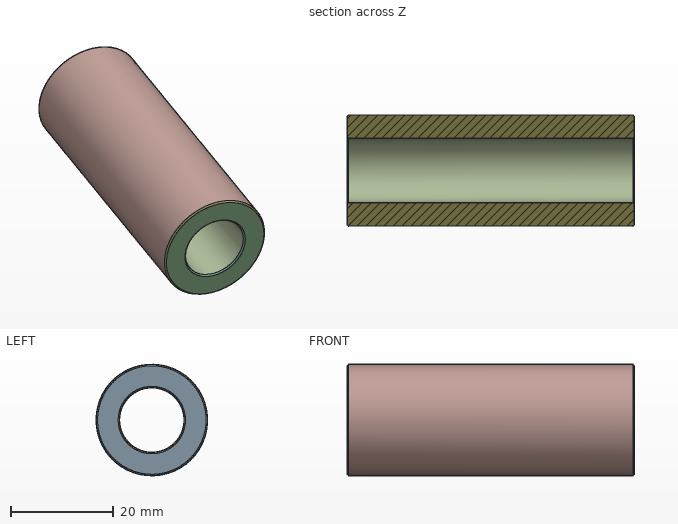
import cadquery as cq

length = 56.25
outer_diameter = 21.88
bore_diameter = 12.6
edge_chamfer = 0.3


def make_bushing():
    """Tube centred on the origin, with every circular end edge chamfered."""
    tube = (
        cq.Workplane("YZ", origin=(-length / 2, 0, 0))
        .circle(outer_diameter / 2)
        .circle(bore_diameter / 2)
        .extrude(length)
    )
    return tube.faces("<X or >X").edges().chamfer(edge_chamfer)


result = make_bushing()